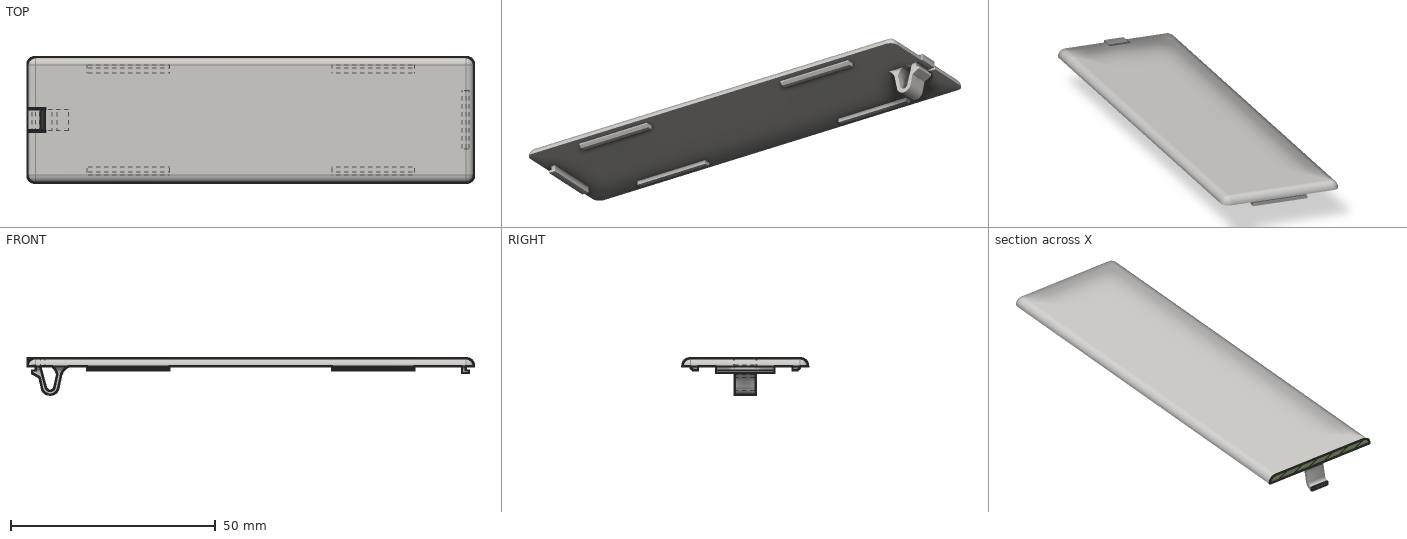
import cadquery as cq
import math

length = 109.0
width = 30.7
wall = 1.0
thickness = 2 * wall
flat_remainder = 0.001
edge_radius = thickness - flat_remainder
left_end = -length / 2
flat_end = length / 2 - thickness
flat_side = width / 2 - thickness

notch_length = 4.4
notch_width = 5.7
tab_length = 3.2
latch_width = 5.1
tab_underside = 0.3

overall_height = 8.9
bend_outer_radius = 2.1
bend_inner_radius = bend_outer_radius - wall
bend_x = left_end + 5.6
bend_z = thickness - overall_height + bend_outer_radius
leg_angle = math.radians(12)
leg_outer_x = left_end + thickness
root_inner_flare = 1.2
root_outer_flare = 1.7
flare_middle = 0.4
root_depth = 2.0

nose_x = left_end + 1.1
nose_top = -1.0
nose_tip_bottom = -1.6
nose_bottom = -2.7

rail_start = 19.8
rail_length = 20.1
rail_height = wall
rail_width = 1.9
rail_bevel = 0.7

hook_width = 14.3
hook_reach = 0.8
hook_lip_top = -1.0
hook_bottom = -1.6


def extrude_across(outline, depth):
    """Extrude an XZ outline symmetrically about the plane y = 0."""
    return outline.close().extrude(depth / 2, both=True)


def make_plate():
    plate = cq.Workplane("XY").box(length, width, thickness, centered=(True, True, False))
    plate = plate.edges("|Z").fillet(thickness)
    plate = plate.faces(">Z").edges().fillet(edge_radius)
    notch = cq.Workplane("XY").box(2 * notch_length, notch_width, 3 * thickness)
    return plate.cut(notch.translate((left_end, 0, 0)))


def leg_point(side, radius, z):
    """Point at height z on the line tangent to a bend circle; side is -1 left, +1 right."""
    spread = radius / math.cos(leg_angle) + (z - bend_z) * math.tan(leg_angle)
    return (bend_x + side * spread, z)


def tangent_point(side, radius):
    return (
        bend_x + side * radius * math.cos(leg_angle),
        bend_z - radius * math.sin(leg_angle),
    )


def make_latch():
    tab_end = left_end + tab_length
    root_inner = leg_point(1, bend_inner_radius, -root_depth)
    root_outer = leg_point(1, bend_outer_radius, -root_depth)
    root_middle = -root_depth * flare_middle
    outline = (
        cq.Workplane("XZ")
        .moveTo(left_end, thickness)
        .lineTo(left_end, tab_underside)
        .lineTo(leg_outer_x, tab_underside)
        .lineTo(leg_outer_x, nose_top)
        .lineTo(nose_x, nose_top)
        .lineTo(nose_x, nose_tip_bottom)
        .lineTo(*leg_point(-1, bend_outer_radius, nose_bottom))
        .lineTo(*tangent_point(-1, bend_outer_radius))
        .threePointArc((bend_x, bend_z - bend_outer_radius), tangent_point(1, bend_outer_radius))
        .lineTo(*root_outer)
        .threePointArc(
            (root_outer[0] + root_outer_flare * flare_middle, root_middle),
            (root_outer[0] + root_outer_flare, 0),
        )
        .lineTo(root_inner[0] - root_inner_flare, 0)
        .threePointArc(
            (root_inner[0] - root_inner_flare * flare_middle, root_middle),
            root_inner,
        )
        .lineTo(*tangent_point(1, bend_inner_radius))
        .threePointArc((bend_x, bend_z - bend_inner_radius), tangent_point(-1, bend_inner_radius))
        .lineTo(tab_end, 0)
        .lineTo(tab_end, thickness)
    )
    return extrude_across(outline, latch_width)


def make_rail():
    """Right-hand rail on the -Y side, bevelled along its outer lower edge."""
    return (
        cq.Workplane("YZ", origin=(rail_start, 0, 0))
        .moveTo(-flat_side, 0)
        .lineTo(-flat_side, rail_bevel - rail_height)
        .lineTo(-flat_side + rail_bevel, -rail_height)
        .lineTo(-flat_side + rail_width, -rail_height)
        .lineTo(-flat_side + rail_width, 0)
        .close()
        .extrude(rail_length)
    )


def make_hook():
    outline = (
        cq.Workplane("XZ")
        .moveTo(flat_end - wall, 0)
        .lineTo(flat_end - wall, hook_bottom)
        .lineTo(flat_end + hook_reach, hook_bottom)
        .lineTo(flat_end + hook_reach, hook_lip_top)
        .lineTo(flat_end, hook_lip_top)
        .lineTo(flat_end, 0)
    )
    return extrude_across(outline, hook_width)


result = make_plate().union(make_latch()).union(make_hook())
right_rail = make_rail()
for rail in (right_rail, right_rail.mirror("YZ")):
    result = result.union(rail).union(rail.mirror("XZ"))